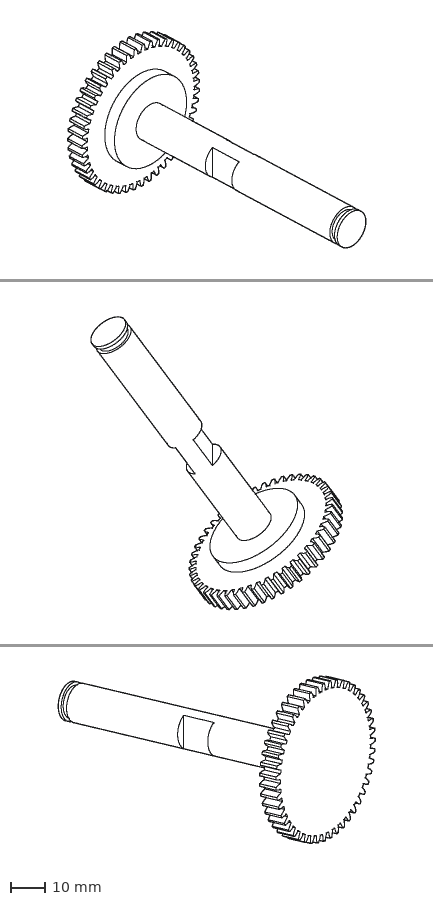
import cadquery as cq
import math

total_length = 93.5
shaft_diameter = 12.0

tooth_count = 47
tip_diameter = 49.0
gear_width = 6.0
root_tooth_thickness = 1.9
pitch_tooth_thickness = 1.5
tip_tooth_thickness = 0.8
first_tooth_angle = 0.5

hub_diameter = 30.0
hub_end = 10.0

flats_start = 38.7
flats_length = 11.0
flats_thickness = 6.0

groove_diameter = 10.0
groove_width = 2.0
end_collar_width = 1.1

dedendum_in_modules = 1.25
gear_module = tip_diameter / (tooth_count + 2)
tip_radius = tip_diameter / 2
pitch_radius = tip_radius - gear_module
root_radius = pitch_radius - dedendum_in_modules * gear_module


def polar_point(radius, angle):
    return (radius * math.cos(angle), radius * math.sin(angle))


def rod(diameter, start, end):
    """Cylinder along X between two stations."""
    return cq.Workplane("YZ").workplane(offset=start).circle(diameter / 2).extrude(end - start)


def make_gear():
    pitch_angle = 2 * math.pi / tooth_count
    root_half_angle = root_tooth_thickness / (2 * root_radius)
    pitch_half_angle = pitch_tooth_thickness / (2 * pitch_radius)
    tip_half_angle = tip_tooth_thickness / (2 * tip_radius)
    first_center = math.pi - math.radians(first_tooth_angle)

    start = polar_point(root_radius, first_center - root_half_angle)
    outline = cq.Workplane("YZ").moveTo(*start)
    for tooth in range(tooth_count):
        center = first_center + tooth * pitch_angle
        next_center = center + pitch_angle
        outline = (
            outline.lineTo(*polar_point(pitch_radius, center - pitch_half_angle))
            .lineTo(*polar_point(tip_radius, center - tip_half_angle))
            .threePointArc(
                polar_point(tip_radius, center),
                polar_point(tip_radius, center + tip_half_angle),
            )
            .lineTo(*polar_point(pitch_radius, center + pitch_half_angle))
            .lineTo(*polar_point(root_radius, center + root_half_angle))
            .threePointArc(
                polar_point(root_radius, center + pitch_angle / 2),
                polar_point(root_radius, next_center - root_half_angle),
            )
        )
    return outline.close().extrude(gear_width)


def make_shaft():
    groove_end = total_length - end_collar_width
    groove_start = groove_end - groove_width
    body = rod(shaft_diameter, 0, groove_start)
    groove_core = rod(groove_diameter, groove_start, groove_end)
    collar = rod(shaft_diameter, groove_end, total_length)
    return body.union(groove_core).union(collar)


def make_flat_cutter(side):
    """Block that removes the shaft beyond one flat; side is -1 or +1 along Y."""
    depth = shaft_diameter / 2
    block = cq.Workplane("XY").box(flats_length, depth, shaft_diameter)
    return block.translate((flats_start + flats_length / 2, side * (flats_thickness + depth) / 2, 0))


result = make_shaft().union(rod(hub_diameter, 0, hub_end)).union(make_gear())
for side in (-1, 1):
    result = result.cut(make_flat_cutter(side))